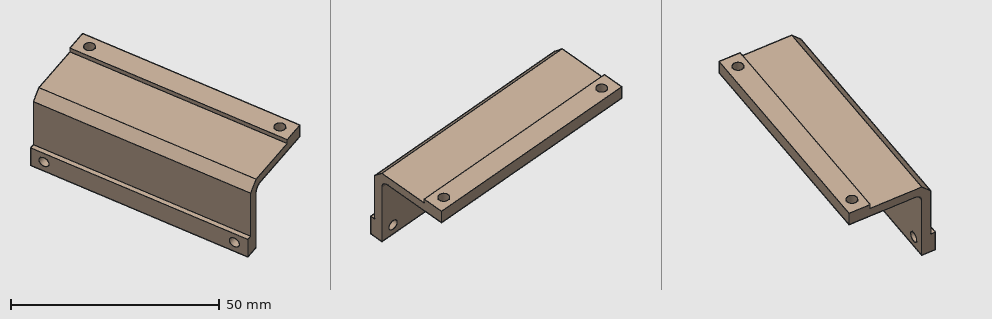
import cadquery as cq

length = 60.95
leg = 24.15

wall = 2.55
pad_step = 1.3
pad_width = 5.9
corner_chamfer = 2.55
corner_radius = 2.0

hole_diameter = 2.8
hole_end_distance = 3.8
hole_edge_distance = 3.05

pad_thickness = wall + pad_step
hole_xs = (hole_end_distance, length - hole_end_distance)


def make_angle():
    """Extrude the L section; the pads' outer faces lie on Y = 0 and Z = leg."""
    wall_top = leg - pad_step
    inner_top = leg - pad_thickness
    return (
        cq.Workplane("YZ")
        .moveTo(0, 0)
        .lineTo(pad_thickness, 0)
        .lineTo(pad_thickness, inner_top - corner_radius)
        .radiusArc((pad_thickness + corner_radius, inner_top), corner_radius)
        .lineTo(leg, inner_top)
        .lineTo(leg, leg)
        .lineTo(leg - pad_width, leg)
        .lineTo(leg - pad_width, wall_top)
        .lineTo(pad_step + corner_chamfer, wall_top)
        .lineTo(pad_step, wall_top - corner_chamfer)
        .lineTo(pad_step, pad_width)
        .lineTo(0, pad_width)
        .close()
        .extrude(length)
    )


def make_upper_holes():
    """Vertical drills through the pad of the horizontal leg."""
    points = [(x, leg - hole_edge_distance) for x in hole_xs]
    return (
        cq.Workplane("XY")
        .workplane(offset=leg - pad_thickness)
        .pushPoints(points)
        .circle(hole_diameter / 2)
        .extrude(pad_thickness)
    )


def make_front_holes():
    """Horizontal drills through the pad of the vertical leg."""
    points = [(x, hole_edge_distance) for x in hole_xs]
    return (
        cq.Workplane("XZ")
        .pushPoints(points)
        .circle(hole_diameter / 2)
        .extrude(-pad_thickness)
    )


result = make_angle().cut(make_upper_holes()).cut(make_front_holes())